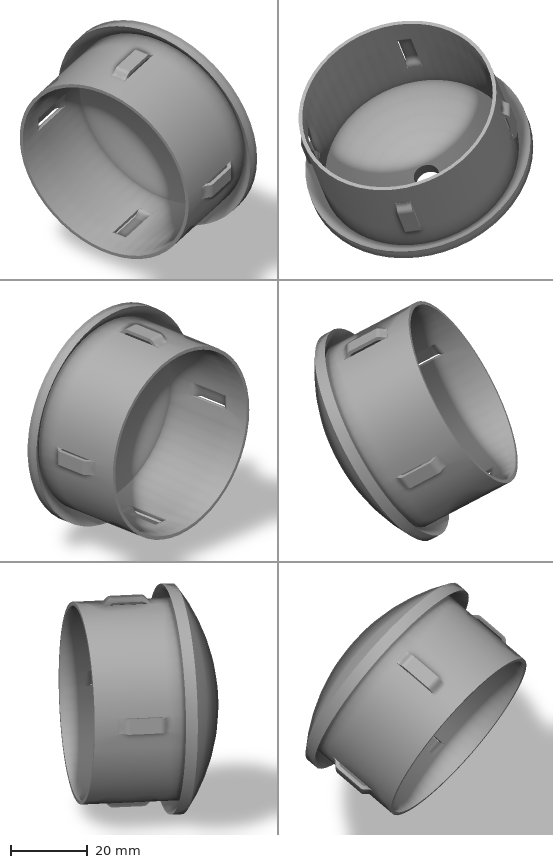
import cadquery as cq
import math


tube_radius = 26.5
wall = 0.95
bore_radius = tube_radius - wall
tube_length = 23.5

cover_radius = 30.15
rim_height = 3.15
dome_rise = 10.1
rim_top = tube_length + rim_height
dome_sphere_radius = (cover_radius**2 + dome_rise**2) / (2 * dome_rise)

hole_radius = 3.4
seat_radius = 5.0

strap_count = 4
strap_width = 4.0
strap_centre = 13.25
strap_length = 13.6
strap_rise = 1.5
bend_radius = 1.55
bend_angle = math.radians(45)

inner_strap_length = strap_length - 2 * wall * math.tan(bend_angle / 2)

bends_rise = 2 * bend_radius * (1 - math.cos(bend_angle))
bends_run = 2 * bend_radius * math.sin(bend_angle)
s_bend_run = bends_run + (strap_rise - bends_rise) / math.tan(bend_angle)


def dome_point(radius, edge_y):
    """Point on the dome sphere whose outer edge lies at edge_y."""
    drop = dome_sphere_radius - math.sqrt(dome_sphere_radius**2 - radius**2)
    return (radius, edge_y + dome_rise - drop)


def make_cover():
    """Rim and dome, with a flat seat and a through hole in the middle."""
    outer_middle = dome_point(cover_radius / 2, rim_top)
    inner_middle = dome_point(cover_radius / 2, tube_length)
    hole_edge = dome_point(hole_radius, rim_top)
    seat_edge = dome_point(seat_radius, tube_length)
    seat_y = seat_edge[1]
    return (
        cq.Workplane("XY")
        .moveTo(cover_radius, tube_length)
        .lineTo(cover_radius, rim_top)
        .threePointArc(outer_middle, hole_edge)
        .lineTo(hole_radius, seat_y)
        .lineTo(seat_radius, seat_y)
        .threePointArc(inner_middle, (cover_radius, tube_length))
        .close()
        .revolve(360, (0, 0, 0), (0, 1, 0))
    )


def make_tube():
    """Plug wall, ending halfway through the thickness of the dome."""
    buried_edge_y = tube_length + rim_height / 2
    bore_top = dome_point(bore_radius, buried_edge_y)
    tube_top = dome_point(tube_radius, buried_edge_y)
    return (
        cq.Workplane("XY")
        .polyline([(bore_radius, 0), (tube_radius, 0), tube_top, bore_top])
        .close()
        .revolve(360, (0, 0, 0), (0, 1, 0))
    )


def make_strap_block(floor_x, root_x, length):
    """Block on the +X side, from floor_x out to a bent strap face that starts at root_x."""
    half_length = length / 2
    root_centre = (root_x + bend_radius, half_length)
    crest_centre = (root_x + strap_rise - bend_radius, half_length - s_bend_run)

    def root(angle):
        x = root_centre[0] - bend_radius * math.cos(angle)
        return (x, root_centre[1] - bend_radius * math.sin(angle))

    def crest(angle):
        x = crest_centre[0] + bend_radius * math.cos(angle)
        return (x, crest_centre[1] + bend_radius * math.sin(angle))

    half_bend = bend_angle / 2
    half_block = (
        cq.Workplane("XY")
        .moveTo(floor_x, 0)
        .lineTo(floor_x, half_length)
        .lineTo(*root(0))
        .threePointArc(root(half_bend), root(bend_angle))
        .lineTo(*crest(bend_angle))
        .threePointArc(crest(half_bend), crest(0))
        .lineTo(root_x + strap_rise, 0)
        .close()
        .extrude(strap_width / 2, both=True)
    )
    block = half_block.union(half_block.mirror("XZ"))
    return block.translate((0, strap_centre, 0))


strap_outside = make_strap_block(tube_radius - wall / 2, tube_radius, strap_length)
strap_inside = make_strap_block(bore_radius - wall, bore_radius, inner_strap_length)

result = make_cover().union(make_tube())
for index in range(strap_count):
    turn = index * 360 / strap_count
    result = result.union(strap_outside.rotate((0, 0, 0), (0, 1, 0), turn))
    result = result.cut(strap_inside.rotate((0, 0, 0), (0, 1, 0), turn))